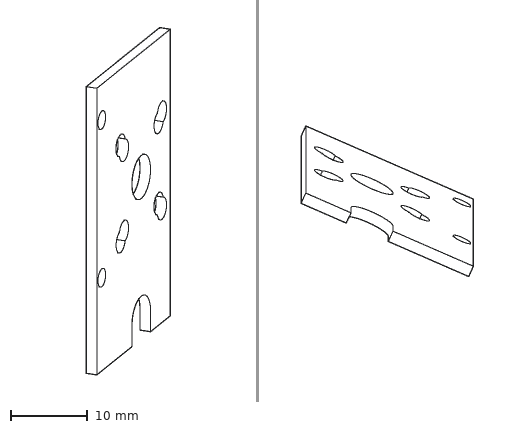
import cadquery as cq
import math

thickness = 1.5
width = 24.0
height = 40.0

motor_y = 2.5
motor_z = 2.65
bore_diameter = 6.0
screw_diameter = 3.0
bolt_circle_diameters = (16.0, 19.0)
screw_angles = (45, 135, 225, 315)

small_diameter = 2.5
small_y = -10.35
small_spacing = 22.0
small_middle_z = 4.0

notch_width = bore_diameter
notch_depth = 6.0


def through_cylinders(points, diameter):
    """Cylinders along X through the plate at the given (y, z) points."""
    return (
        cq.Workplane("YZ")
        .pushPoints(points)
        .circle(diameter / 2)
        .extrude(thickness, both=True)
    )


def screw_points(circle_diameter):
    """Centres of the screw holes on one bolt circle around the motor bore."""
    radius = circle_diameter / 2
    return [
        (
            motor_y + radius * math.cos(math.radians(angle)),
            motor_z + radius * math.sin(math.radians(angle)),
        )
        for angle in screw_angles
    ]


def notch():
    """Straight-sided notch that ends in a half circle."""
    radius = notch_width / 2
    bottom_z = -height / 2
    top_z = bottom_z + notch_depth
    arc_z = top_z - radius
    return (
        cq.Workplane("YZ")
        .moveTo(motor_y - radius, bottom_z)
        .lineTo(motor_y - radius, arc_z)
        .threePointArc((motor_y, top_z), (motor_y + radius, arc_z))
        .lineTo(motor_y + radius, bottom_z)
        .close()
        .extrude(thickness, both=True)
    )


small_points = [
    (small_y, small_middle_z + side * small_spacing / 2) for side in (-1, 1)
]

result = (
    cq.Workplane("XY")
    .box(thickness, width, height)
    .cut(through_cylinders([(motor_y, motor_z)], bore_diameter))
    .cut(through_cylinders(small_points, small_diameter))
    .cut(notch())
)

for circle_diameter in bolt_circle_diameters:
    result = result.cut(through_cylinders(screw_points(circle_diameter), screw_diameter))